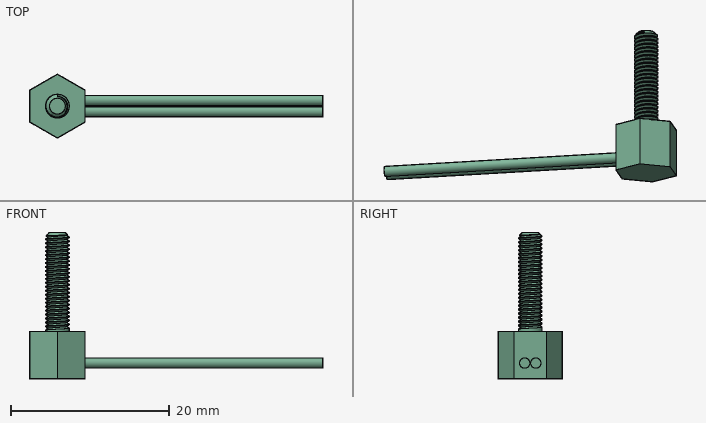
import cadquery as cq
import math

hex_across_flats = 7.0
housing_height = 6.0
corners = 6

thread_diameter = 3.0
thread_pitch = 0.5
thread_depth = 0.3
crest_width = 0.06
stud_length = 12.5
tip_chamfer = 0.5

groove_end_margin = thread_pitch / 2
groove_start_angle = 90
cutter_overshoot = 0.05

wire_diameter = 1.3
wire_gap = 0.1
wire_length = 30.0
wire_height = 2.0
wire_spacing = wire_diameter + wire_gap


def make_groove():
    """Right-handed helical groove with a V section that leaves the crests between its turns."""
    crest_radius = thread_diameter / 2
    root_radius = crest_radius - thread_depth
    cutter_radius = crest_radius + cutter_overshoot
    half_mouth = (thread_pitch - crest_width) / 2
    half_width = half_mouth * (cutter_radius - root_radius) / thread_depth
    helix = cq.Wire.makeHelix(thread_pitch, stud_length - 2 * groove_end_margin, root_radius)
    section = (
        cq.Workplane("XZ")
        .polyline([(root_radius, 0), (cutter_radius, half_width), (cutter_radius, -half_width)])
        .close()
    )
    groove = section.sweep(cq.Workplane(obj=helix), isFrenet=True)
    return groove.translate((0, 0, groove_end_margin))


def make_stud():
    """Threaded stud with its foot at Z = 0 and a chamfered tip."""
    blank = (
        cq.Workplane("XY")
        .circle(thread_diameter / 2)
        .extrude(stud_length)
        .faces(">Z")
        .chamfer(tip_chamfer)
    )
    blank = blank.rotate((0, 0, 0), (0, 0, 1), 180)
    return blank.cut(make_groove()).rotate((0, 0, 0), (0, 0, 1), groove_start_angle)


def make_housing():
    """Hexagonal block and its threaded stud, as one solid."""
    across_corners = hex_across_flats / math.cos(math.pi / corners)
    block = (
        cq.Workplane("XY")
        .polygon(corners, across_corners)
        .extrude(housing_height)
        .rotate((0, 0, 0), (0, 0, 1), 180 / corners)
    )
    return block.union(make_stud().translate((0, 0, housing_height)))


def make_wire(y):
    """Round wire along X that starts on the +X flat of the housing."""
    return (
        cq.Workplane("YZ", origin=(hex_across_flats / 2, y, wire_height))
        .circle(wire_diameter / 2)
        .extrude(wire_length)
    )


housing = make_housing()
wires = [make_wire(side * wire_spacing / 2) for side in (-1, 1)]

result = cq.Compound.makeCompound([housing.val(), *[wire.val() for wire in wires]])